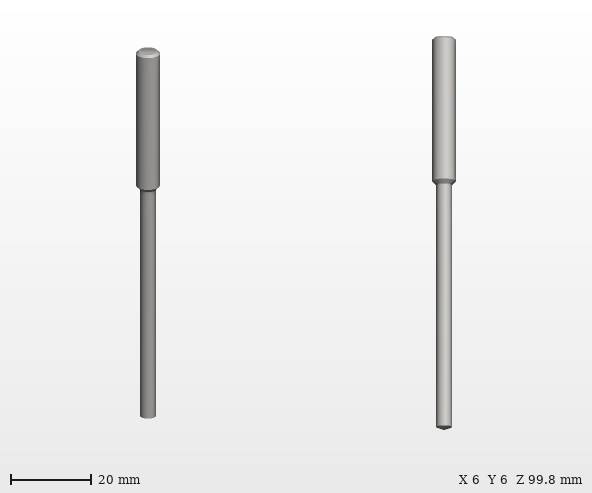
import cadquery as cq

total_length = 99.8
top_z = total_length / 2

shank_radius = 3.0
shank_length = 37.4
taper_height = 1.0
neck_radius = 2.0
neck_length = 6.6
top_chamfer = 0.6

cutter_radius = neck_radius
tip_height = 0.8

taper_end_z = top_z - shank_length
joint_z = taper_end_z - neck_length
tip_z = top_z - total_length


def make_shank():
    """Chamfered shank that tapers down to a slimmer neck."""
    profile = [
        (0, joint_z),
        (neck_radius, joint_z),
        (neck_radius, taper_end_z),
        (shank_radius, taper_end_z + taper_height),
        (shank_radius, top_z - top_chamfer),
        (shank_radius - top_chamfer, top_z),
        (0, top_z),
    ]
    return cq.Workplane("XZ").polyline(profile).close().revolve(360, (0, 0), (0, 1))


def make_cutter():
    """Straight cylindrical cutter with a conical point."""
    profile = [
        (0, tip_z),
        (cutter_radius, tip_z + tip_height),
        (cutter_radius, joint_z),
        (0, joint_z),
    ]
    return cq.Workplane("XZ").polyline(profile).close().revolve(360, (0, 0), (0, 1))


shank = make_shank()
cutter = make_cutter()
result = cq.Compound.makeCompound([shank.val(), cutter.val()])